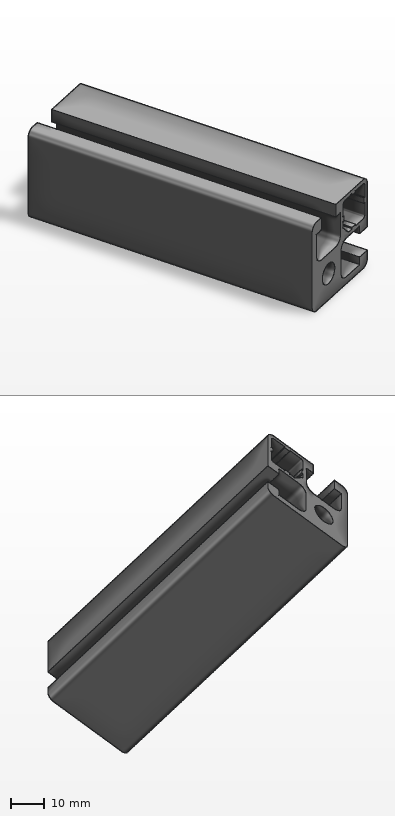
import cadquery as cq

length = 100.0
side = 32.0
outer_radius = 2.5

axis_offset = 22.5
slot_opening = 8.4
slot_width = 13.9
slot_depth = 15.3
slot_radius = 3.0
lip_thickness = 4.5
bore_diameter = 7.2

chamber_wall = 1.5
chamber_side = 12.6
chamber_radius = 1.0
chamber_chamfer = 3.2
rib_width = 2.0
rib_height = 0.5

half_side = side / 2
axis = half_side - axis_offset
chamber_center = half_side - chamber_wall - chamber_side / 2


def block(width, height, y, z):
    """Full-length bar of rectangular section centred at (y, z)."""
    return cq.Workplane("XY").box(length, width, height).translate((0, y, z))


def top_slot():
    """T-slot cutter open to the +Z face, with rounded floor corners."""
    opening = block(slot_opening, lip_thickness, axis, half_side - lip_thickness / 2)
    room_height = slot_depth - lip_thickness
    room = block(slot_width, room_height, axis, half_side - lip_thickness - room_height / 2)
    room = room.faces("<Z").edges("|X").fillet(slot_radius)
    return room.union(opening)


def chamber():
    """Square chamber cutter: one chamfered inner corner, a guide rib on each wall."""
    cutter = block(chamber_side, chamber_side, chamber_center, chamber_center)
    cutter = cutter.faces("<Z").edges("<Y").chamfer(chamber_chamfer)
    for corner in (">Y and >Z", ">Y and <Z", "<Y and >Z"):
        cutter = cutter.edges("|X").edges(corner).fillet(chamber_radius)
    rib_offset = (chamber_side - rib_height) / 2
    for direction in (-1, 1):
        rib_place = chamber_center + direction * rib_offset
        cutter = cutter.cut(block(rib_width, rib_height, chamber_center, rib_place))
        cutter = cutter.cut(block(rib_height, rib_width, rib_place, chamber_center))
    return cutter


def screw_bore():
    """Round bore running the full length."""
    bore = cq.Workplane("YZ").center(axis, axis).circle(bore_diameter / 2)
    return bore.extrude(length / 2, both=True)


side_slot = top_slot().mirror("XY").rotate((0, 0, 0), (1, 0, 0), 90)

body = block(side, side, 0, 0).edges("|X").fillet(outer_radius)
result = body.cut(top_slot()).cut(side_slot).cut(chamber()).cut(screw_bore())